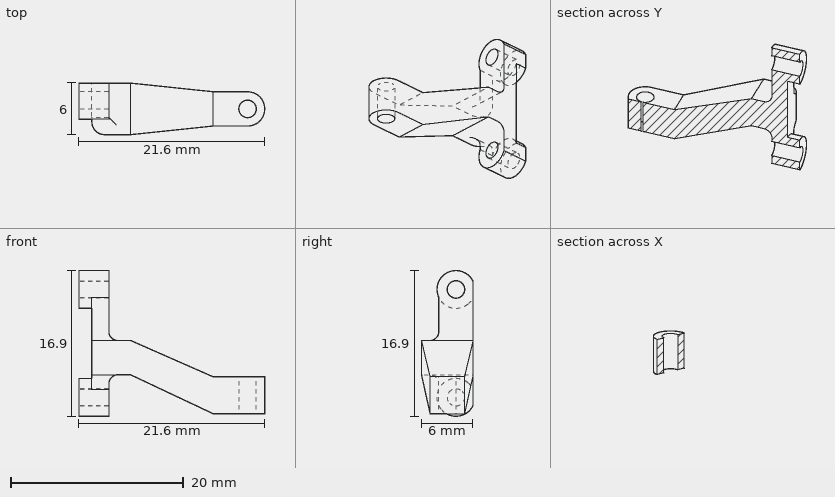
import cadquery as cq
import math

boss_radius = 2.2
boss_length = 3.5
boss_spacing = 12.5
hole_diameter = 2.0

post_half_width = 2.0
post_thickness = 2.0
post_back_x = boss_length - post_thickness
back_y = post_half_width

root_front_y = -4.0
root_bottom_z = 2.6
root_height = 4.0
root_top_z = root_bottom_z + root_height
root_end_x = 6.0
root_corner_radius = 1.5
fillet_radius = 1.0

tip_radius = 2.0
tip_center_x = 19.55
tip_straight_length = 4.0
tip_start_x = tip_center_x - tip_straight_length
tip_center_y = (back_y + root_front_y) / 2
tip_bottom_z = -1.9
tip_height = 4.3
tip_top_z = tip_bottom_z + tip_height
arm_end_x = tip_center_x + tip_radius

boss_axes_z = (0.0, boss_spacing)


def make_box(x_range, y_range, z_range):
    """Box spanning the given (low, high) pairs."""
    spans = (x_range, y_range, z_range)
    size = [high - low for low, high in spans]
    corner = tuple(low for low, high in spans)
    return cq.Workplane("XY").box(*size, centered=False).translate(corner)


def make_rod(radius, axis_z):
    """Cylinder along X over the length of a boss."""
    return cq.Workplane("YZ").center(0, axis_z).circle(radius).extrude(boss_length)


def make_post_and_root():
    """Post and arm root, blended where the root's top and bottom meet the post."""
    post = make_box((post_back_x, boss_length), (-post_half_width, back_y), boss_axes_z)
    root = make_box((post_back_x, root_end_x), (root_front_y, back_y), (root_bottom_z, root_top_z))
    body = post.union(root)
    margin = 0.1
    for z in (root_bottom_z, root_top_z):
        junction = cq.selectors.BoxSelector(
            (post_back_x - margin, -post_half_width - margin, z - margin),
            (boss_length + margin, back_y + margin, z + margin),
        )
        body = body.edges(junction).fillet(fillet_radius)
    return body


def round_root_corner(body):
    """Round the outer vertical corner of the root, including the blends that reach it."""
    corner_x = post_back_x + root_corner_radius
    corner_y = root_front_y + root_corner_radius
    diagonal = root_corner_radius * math.sqrt(0.5)
    waste = (
        cq.Workplane("XY", origin=(0, 0, root_bottom_z - fillet_radius))
        .moveTo(post_back_x, corner_y)
        .threePointArc((corner_x - diagonal, corner_y - diagonal), (corner_x, root_front_y))
        .lineTo(post_back_x, root_front_y)
        .close()
        .extrude(root_height + 2 * fillet_radius)
    )
    return body.cut(waste)


def make_arm():
    """Sloping arm and tip: side profile trimmed to a tapering outline with a round end."""
    profile = (
        cq.Workplane("XZ", origin=(0, back_y, 0))
        .moveTo(root_end_x, root_bottom_z)
        .lineTo(tip_start_x, tip_bottom_z)
        .lineTo(arm_end_x, tip_bottom_z)
        .lineTo(arm_end_x, tip_top_z)
        .lineTo(tip_start_x, tip_top_z)
        .lineTo(root_end_x, root_top_z)
        .close()
        .extrude(back_y - root_front_y)
    )
    outline = (
        cq.Workplane("XY", origin=(0, 0, tip_bottom_z))
        .moveTo(root_end_x, root_front_y)
        .lineTo(tip_start_x, tip_center_y - tip_radius)
        .lineTo(tip_center_x, tip_center_y - tip_radius)
        .threePointArc((arm_end_x, tip_center_y), (tip_center_x, tip_center_y + tip_radius))
        .lineTo(tip_start_x, tip_center_y + tip_radius)
        .lineTo(root_end_x, back_y)
        .close()
        .extrude(root_top_z - tip_bottom_z)
    )
    tip_hole = (
        cq.Workplane("XY", origin=(tip_center_x, tip_center_y, tip_bottom_z))
        .circle(hole_diameter / 2)
        .extrude(tip_height)
    )
    return profile.intersect(outline).cut(tip_hole)


def make_boss(axis_z):
    """Pivot boss with a flat in line with the back of the post."""
    envelope = make_box(
        (0, boss_length),
        (-boss_radius, back_y),
        (axis_z - boss_radius, axis_z + boss_radius),
    )
    return make_rod(boss_radius, axis_z).intersect(envelope)


result = round_root_corner(make_post_and_root()).union(make_arm())
for boss_z in boss_axes_z:
    result = result.union(make_boss(boss_z)).cut(make_rod(hole_diameter / 2, boss_z))